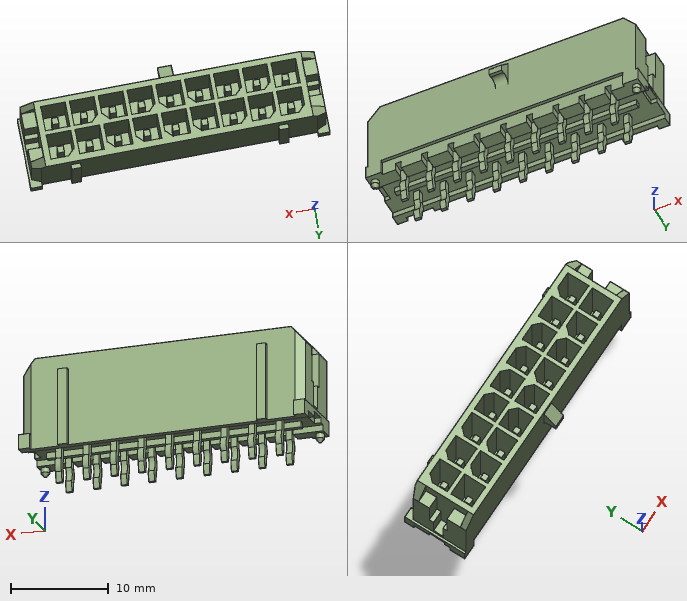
import cadquery as cq


overall_height = 13.08
flange_length = 31.15
flange_height = 1.6
body_length = 30.65
body_depth = 6.85
body_top = 9.85
back_face = 7.32
tab_depth = back_face - body_depth
tab_length = 1.2
top_chamfer_length = 1.4
top_chamfer_height = 1.62
shoulder_height = body_top - top_chamfer_height
corner_chamfer_length = 0.97
corner_chamfer_depth = 0.4

cheek_front = 0.72
cheek_back = 5.8
wide_slot_front = 2.35
wide_slot_back = 4.5
wide_slot_floor = 4.58
narrow_slot_front = 2.8
narrow_slot_back = 3.95
narrow_slot_floor = 2.05

rib_offset = 10.8
rib_length = 1.0

columns = 9
row_length = 24.0
pitch = row_length / (columns - 1)
front_row = 1.9
back_row = front_row + pitch
cell_size = 2.55
cell_chamfer = 0.72
cell_floor = 2.5
front_keys = "NLLRRLRLN"
back_keys = "LLLRRRRNL"

pin_size = 0.65
pin_top = 6.85
pin_shift = 0.05
bend_top = -0.65
bend_bottom = -2.12
bend_bulge = 0.22
taper_start = -2.5
pin_tip = body_top - overall_height
tip_width = 0.3

channel_front = 1.8
channel_back = 6.2
channel_height = 0.65
rail_width = 0.55
end_notch_width = 1.87
end_notch_top = 1.2
end_notch_depth = 0.7
recess_length = 27.65
recess_depth = 0.35
recess_height = 1.78
pin_slot_height = 0.95

peg_spacing = 29.9
peg_y = 0.97
peg_diameter = 0.9
peg_tip_diameter = 0.22
peg_shoulder = 0.53
peg_length = 0.95

latch_width = 1.43
latch_reach = 1.45
latch_top = 9.3
latch_nose_top = 7.73
latch_nose_bottom = 6.95
latch_arc_radius = 0.75
latch_arc_center = 6.3
latch_lip = 1.1

row_center = (front_row + back_row) / 2


def block(x_range, y_range, z_range):
    """Box spanning the given ranges."""
    (x0, x1), (y0, y1), (z0, z1) = x_range, y_range, z_range
    return cq.Workplane("XY").box(x1 - x0, y1 - y0, z1 - z0, centered=False).translate((x0, y0, z0))


def long_block(length, y_range, z_range):
    """Box centred on X = 0."""
    return block((-length / 2, length / 2), y_range, z_range)


def both_ends(solid):
    """The solid together with its mirror image across X = 0."""
    return solid.union(solid.mirror("YZ"))


def column_x(column):
    return column * pitch - row_length / 2


def make_body():
    half = body_length / 2
    top_half = half - top_chamfer_length
    body = (
        cq.Workplane("XZ")
        .polyline([
            (-half, 0), (half, 0), (half, shoulder_height),
            (top_half, body_top), (-top_half, body_top), (-half, shoulder_height),
        ])
        .close()
        .extrude(-body_depth)
    )
    corner = (
        cq.Workplane("XY")
        .polyline([
            (-half, body_depth - corner_chamfer_depth),
            (-half, body_depth),
            (-half + corner_chamfer_length, body_depth),
        ])
        .close()
        .extrude(body_top)
    )
    return body.cut(both_ends(corner))


def make_flange():
    flange = long_block(flange_length, (0, body_depth), (0, flange_height))
    end = -flange_length / 2
    tab = block((end, end + tab_length), (body_depth - tab_depth, back_face), (0, flange_height))
    return flange.union(both_ends(tab))


def make_ribs():
    rib = block(
        (rib_offset - rib_length / 2, rib_offset + rib_length / 2),
        (body_depth - tab_depth, back_face),
        (0, shoulder_height),
    )
    return both_ends(rib)


def make_end_slots():
    x_range = (-body_length / 2, -body_length / 2 + top_chamfer_length)
    slot = block(x_range, (cheek_front, cheek_back), (shoulder_height, body_top))
    slot = slot.union(block(x_range, (wide_slot_front, wide_slot_back), (wide_slot_floor, body_top)))
    slot = slot.union(block(x_range, (narrow_slot_front, narrow_slot_back), (narrow_slot_floor, body_top)))
    return both_ends(slot)


def make_cell(x, y, key):
    cell = cq.Workplane("XY").box(cell_size, cell_size, body_top - cell_floor, centered=(True, True, False))
    if key == "L":
        cell = cell.edges("|Z and <X and >Y").chamfer(cell_chamfer)
    elif key == "R":
        cell = cell.edges("|Z and >X and >Y").chamfer(cell_chamfer)
    return cell.translate((x, y, cell_floor))


def make_pin(x, y, bulge_side):
    """Pin whose kink below the housing bulges to -Y or +Y as bulge_side is -1 or 1."""
    half = pin_size / 2
    bulge = bulge_side * bend_bulge
    bend_middle = (bend_top + bend_bottom) / 2
    return (
        cq.Workplane("YZ")
        .moveTo(-half, pin_top)
        .lineTo(-half, bend_top)
        .threePointArc((-half + bulge, bend_middle), (-half, bend_bottom))
        .lineTo(-half, taper_start)
        .lineTo(-tip_width / 2, pin_tip)
        .lineTo(tip_width / 2, pin_tip)
        .lineTo(half, taper_start)
        .lineTo(half, bend_bottom)
        .threePointArc((half + bulge, bend_middle), (half, bend_top))
        .lineTo(half, pin_top)
        .close()
        .extrude(half, both=True)
        .translate((x, y - pin_shift, 0))
    )


def make_pin_slot(x):
    half = pin_size / 2
    return block((x - half, x + half), (0, front_row - pin_shift - half), (0, pin_slot_height))


def make_underside_cut():
    channel = long_block(flange_length, (channel_front, channel_back), (0, channel_height))
    rail = long_block(
        recess_length, (row_center - rail_width / 2, row_center + rail_width / 2), (0, channel_height)
    )
    end = -flange_length / 2
    notch = block(
        (end, end + end_notch_depth),
        (row_center - end_notch_width / 2, row_center + end_notch_width / 2),
        (0, end_notch_top),
    )
    front_recess = long_block(recess_length, (0, recess_depth), (0, recess_height))
    return channel.cut(rail).union(both_ends(notch)).union(front_recess)


def make_pegs():
    peg = (
        cq.Workplane("XZ")
        .lineTo(peg_diameter / 2, 0)
        .lineTo(peg_diameter / 2, -peg_shoulder)
        .lineTo(peg_tip_diameter / 2, -peg_length)
        .lineTo(0, -peg_length)
        .close()
        .revolve(360, (0, 0), (0, 1))
        .translate((-peg_spacing / 2, peg_y, 0))
    )
    return both_ends(peg)


def make_latch():
    arc_middle = latch_arc_radius / 2**0.5
    return (
        cq.Workplane("YZ")
        .moveTo(0, latch_top)
        .lineTo(-latch_reach, latch_nose_top)
        .lineTo(-latch_reach, latch_nose_bottom)
        .lineTo(-latch_lip, latch_nose_bottom)
        .threePointArc(
            (-latch_arc_radius + arc_middle, latch_arc_center + arc_middle), (0, latch_arc_center)
        )
        .close()
        .extrude(latch_width / 2, both=True)
    )


housing = make_body().union(make_flange()).union(make_ribs())
housing = housing.cut(make_end_slots()).cut(make_underside_cut())
for column in range(columns):
    x = column_x(column)
    housing = housing.cut(make_cell(x, front_row, front_keys[column]))
    housing = housing.cut(make_cell(x, back_row, back_keys[column]))
    housing = housing.cut(make_pin_slot(x))
housing = housing.union(make_pegs()).union(make_latch())

result = housing
for column in range(columns):
    x = column_x(column)
    result = result.union(make_pin(x, front_row, -1))
    result = result.union(make_pin(x, back_row, 1))